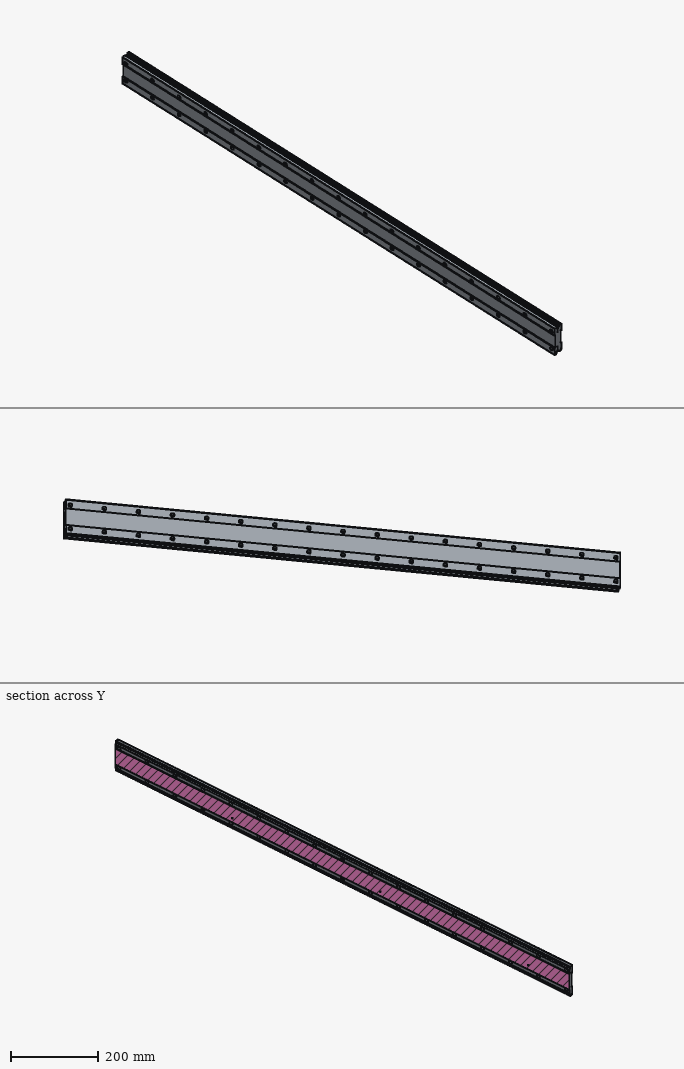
import cadquery as cq

LENGTH = 1300.0
THICKNESS = 24.0
HEIGHT = 90.0

WEB_THICKNESS = 20.0
WEB_HEIGHT = 42.0

REAR_BEVEL_WIDTH = 2.0
REAR_BEVEL_HEIGHT = 3.0
REAR_LIP_INNER_Y = 5.0
LEDGE_DEPTH = 4.0
LEDGE_OUTER_Y = 4.0
LEDGE_INNER_Y = 1.0

FRONT_LIP_INNER_Y = -4.3
FRONT_LIP_WALL_DEPTH = 5.0
FRONT_CHAMFER = 0.5

SLIT_CENTRE_Y = -1.25
SLIT_WIDTH = 1.5
MOUTH_DEPTH = 9.0
SLIT_DEPTH = 20.0

HOLE_DIAMETER = 9.0
HOLE_PITCH = 80.0
HOLE_COUNT = 17
HOLE_ROW_SPACING = 60.0


def upper_outline():
    """Upper half of the cross-section as (y, z) points, from +Y round to -Y."""
    face = THICKNESS / 2
    web_face = WEB_THICKNESS / 2
    web_top = WEB_HEIGHT / 2
    top = HEIGHT / 2
    ledge = top - LEDGE_DEPTH
    mouth_bottom = top - MOUTH_DEPTH
    slit_floor = top - SLIT_DEPTH
    slit_rear = SLIT_CENTRE_Y + SLIT_WIDTH / 2
    slit_front = SLIT_CENTRE_Y - SLIT_WIDTH / 2

    rear_web = [(web_face, web_top), (face, web_top)]
    rear_lip = [
        (face, top - REAR_BEVEL_HEIGHT),
        (face - REAR_BEVEL_WIDTH, top),
        (REAR_LIP_INNER_Y, top),
        (LEDGE_OUTER_Y, ledge),
        (LEDGE_INNER_Y, ledge),
    ]
    slit = [
        (slit_rear, mouth_bottom),
        (slit_rear, slit_floor),
        (slit_front, slit_floor),
        (slit_front, mouth_bottom),
    ]
    front_lip = [
        (FRONT_LIP_INNER_Y, top - FRONT_LIP_WALL_DEPTH),
        (FRONT_LIP_INNER_Y, top),
        (-face + FRONT_CHAMFER, top),
        (-face, top - FRONT_CHAMFER),
    ]
    front_web = [(-face, web_top), (-web_face, web_top)]
    return rear_web + rear_lip + slit + front_lip + front_web


def make_profile_bar():
    """Extrude the cross-section, which is mirrored about the mid-height plane."""
    upper = upper_outline()
    lower = [(y, -z) for y, z in reversed(upper)]
    return cq.Workplane("YZ").polyline(upper + lower).close().extrude(LENGTH / 2, both=True)


def make_cross_holes():
    """Two rows of evenly pitched holes running through along Y."""
    return (
        cq.Workplane("XZ")
        .rarray(HOLE_PITCH, HOLE_ROW_SPACING, HOLE_COUNT, 2)
        .circle(HOLE_DIAMETER / 2)
        .extrude(THICKNESS / 2, both=True)
    )


result = make_profile_bar().cut(make_cross_holes())